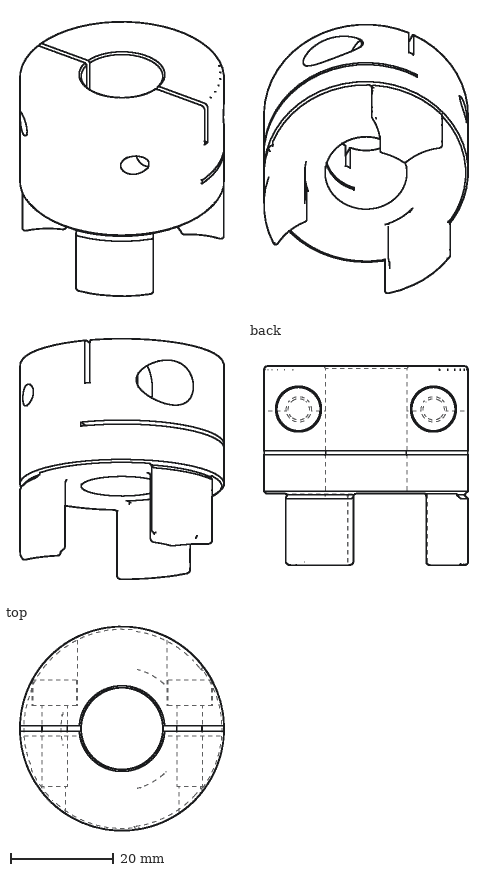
import cadquery as cq


outer_radius = 20.0
body_height = 25.0
rim_fillet = 0.8
bore_radius = 8.0
bore_chamfer = 0.4

jaw_count = 3
jaw_pitch = 360 / jaw_count
jaw_length = 14.0
jaw_inner_radius = 12.0
gap_center_radius = 16.0
gap_radius = 11.7
gap_root_fillet = 0.6
jaw_edge_fillet = 0.5
jaw_tip_fillet = 0.7
root_overlap = 2.0

groove_depth = 0.7
groove_top_z = 0.5

axial_slot_width = 1.05
axial_slot_depth = 8.8
cross_slot_height = 0.8
cross_slot_depth = 16.6
cross_slot_overrun = 1.35

screw_offset = 13.2
screw_depth = 8.45
screw_z = body_height - screw_depth
screw_radius = 2.5
screw_tip_y = -11.3
head_radius = 4.25
head_height = 5.0
head_top_y = 9.55
seat_y = head_top_y - head_height
counterbore_radius = 4.5
tap_hole_radius = 2.1
screw_positions = (-screw_offset, screw_offset)


def cylinder_along_y(radius, x, start_y, end_y):
    """Cylinder at screw height, running from start_y to end_y."""
    plane = cq.Plane(origin=(x, start_y, screw_z), xDir=(1, 0, 0), normal=(0, 1, 0))
    return cq.Workplane(plane).circle(radius).extrude(end_y - start_y)


def make_body():
    """Plain cylinder with a rounded top rim."""
    body = cq.Workplane("XY").circle(outer_radius).extrude(body_height)
    return body.faces(">Z").edges().fillet(rim_fillet)


def make_jaw_ring(bottom_z, top_z):
    """Ring between the inner and outer faces of the jaws."""
    ring = cq.Workplane("XY", origin=(0, 0, bottom_z)).circle(outer_radius).circle(jaw_inner_radius)
    return ring.extrude(top_z - bottom_z)


def make_jaw():
    """Jaw pointing along -X, with rounded edges and a root flare on its two concave sides."""
    jaw = make_jaw_ring(-jaw_length, 0)
    for index in range(jaw_count):
        gap = cq.Workplane("XY").center(gap_center_radius, 0).circle(gap_radius).extrude(-jaw_length)
        jaw = jaw.cut(gap.rotate((0, 0, 0), (0, 0, 1), index * jaw_pitch))
    jaw = jaw.solids("<X").edges("|Z").fillet(jaw_edge_fillet)
    jaw = jaw.faces("<Z").edges().fillet(jaw_tip_fillet)

    plate_radius = 2 * outer_radius
    plate = cq.Workplane("XY").circle(plate_radius).extrude(root_overlap)
    flared = plate.union(jaw)
    plate_underside = flared.faces("-Z").faces(">Z").val()
    root_loop = plate_underside.innerWires()[0]
    flared = flared.newObject(root_loop.Edges()).fillet(gap_root_fillet)
    return flared.intersect(make_jaw_ring(-jaw_length, root_overlap))


def make_groove():
    apex_z = groove_top_z - groove_depth
    return (
        cq.Workplane("XZ")
        .moveTo(outer_radius, groove_top_z)
        .lineTo(outer_radius - groove_depth, apex_z)
        .lineTo(outer_radius, apex_z - groove_depth)
        .close()
        .revolve(360, (0, 0, 0), (0, 1, 0))
    )


def add_jaws(hub):
    jaw = make_jaw()
    for index in range(jaw_count):
        hub = hub.union(jaw.rotate((0, 0, 0), (0, 0, 1), index * jaw_pitch))
    return hub.cut(make_groove())


def cut_bore(hub):
    """Through bore, chamfered at the top."""
    bore = cq.Workplane("XY").circle(bore_radius).extrude(body_height)
    mouth = (
        cq.Workplane("XY", origin=(0, 0, body_height))
        .circle(bore_radius + bore_chamfer)
        .extrude(-bore_radius - bore_chamfer, taper=45)
    )
    return hub.cut(bore).cut(mouth)


def cut_axial_slot(hub):
    slot = (
        cq.Workplane("XY", origin=(0, 0, body_height))
        .rect(2 * outer_radius, axial_slot_width)
        .extrude(-axial_slot_depth)
    )
    return hub.cut(slot)


def cut_cross_slot(hub):
    """Horizontal slot open on the +Y side."""
    slot = cq.Workplane("XY").box(
        2 * outer_radius,
        outer_radius + cross_slot_overrun,
        cross_slot_height,
        centered=(True, False, False),
    )
    slot_z = body_height - cross_slot_depth - cross_slot_height
    return hub.cut(slot.translate((0, -cross_slot_overrun, slot_z)))


def cut_screw_hole(hub, x):
    """Counterbore from +Y, screw hole down to the tip, and tap drill hole out to -Y."""
    hub = hub.cut(cylinder_along_y(counterbore_radius, x, seat_y, outer_radius))
    hub = hub.cut(cylinder_along_y(screw_radius, x, screw_tip_y, seat_y))
    return hub.cut(cylinder_along_y(tap_hole_radius, x, -outer_radius, screw_tip_y))


def make_hub():
    hub = add_jaws(make_body())
    hub = cut_bore(hub)
    hub = cut_axial_slot(hub)
    hub = cut_cross_slot(hub)
    for x in screw_positions:
        hub = cut_screw_hole(hub, x)
    return hub


def make_screw(x):
    shank = cylinder_along_y(screw_radius, x, screw_tip_y, seat_y)
    head = cylinder_along_y(head_radius, x, seat_y, head_top_y)
    return shank.union(head)


hub = make_hub()
screws = [make_screw(x) for x in screw_positions]
result = cq.Compound.makeCompound([hub.val(), *[screw.val() for screw in screws]])